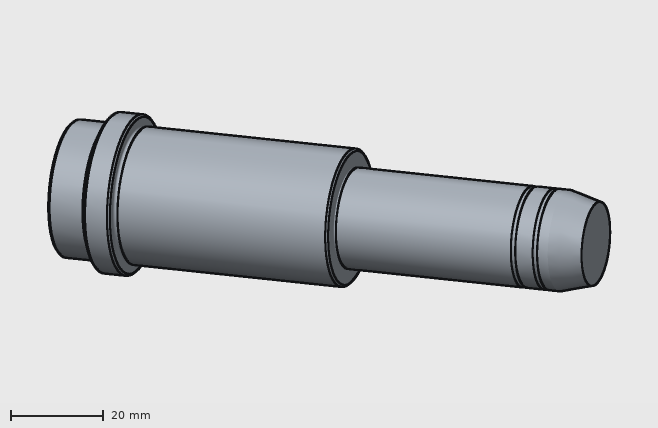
import cadquery as cq
import math

collar_start = 9.0
collar_end = 15.0
body_end = 64.0
ring_groove_centers = (105.0, 110.0)
taper_start = 113.0
total_length = 120.0

collar_radius = 35.0 / 2
body_radius = 30.0 / 2
shaft_radius = 22.0 / 2

edge_chamfer = 0.5
taper_angle = 15.0
tip_radius = shaft_radius - (total_length - taper_start) * math.tan(math.radians(taper_angle))

groove_width = 1.0
groove_depth = 0.5

shoulder_relief_width = 0.5
shoulder_relief_depth = 0.25


def add_groove(profile, start, width, radius, depth):
    """Run the outline to a groove and through its round bottom."""
    middle = (start + width / 2, radius - depth)
    end = (start + width, radius)
    return profile.lineTo(start, radius).threePointArc(middle, end)


def add_head(profile):
    """Head with a chamfered front edge and a relief against the collar."""
    profile = profile.lineTo(0, body_radius - edge_chamfer).lineTo(edge_chamfer, body_radius)
    relief_start = collar_start - groove_width
    return add_groove(profile, relief_start, groove_width, body_radius, groove_depth)


def add_collar(profile):
    """Collar chamfered on both rims."""
    rim_radius = collar_radius - edge_chamfer
    profile = profile.lineTo(collar_start, rim_radius)
    profile = profile.lineTo(collar_start + edge_chamfer, collar_radius)
    profile = profile.lineTo(collar_end - edge_chamfer, collar_radius)
    return profile.lineTo(collar_end, rim_radius)


def add_body(profile):
    """Main cylinder with a relief behind the collar and a chamfered end."""
    profile = add_groove(profile, collar_end, groove_width, body_radius, groove_depth)
    profile = profile.lineTo(body_end - edge_chamfer, body_radius)
    return profile.lineTo(body_end, body_radius - edge_chamfer)


def add_shaft(profile):
    """Shaft with a shoulder relief, two ring grooves and a tapered tip."""
    profile = add_groove(profile, body_end, shoulder_relief_width, shaft_radius, shoulder_relief_depth)
    for center in ring_groove_centers:
        ring_start = center - groove_width / 2
        profile = add_groove(profile, ring_start, groove_width, shaft_radius, groove_depth)
    profile = profile.lineTo(taper_start, shaft_radius).lineTo(total_length, tip_radius)
    return profile.lineTo(total_length, 0)


outline = cq.Workplane("XY").moveTo(0, 0)
for add_section in (add_head, add_collar, add_body, add_shaft):
    outline = add_section(outline)

result = outline.close().revolve(360, (0, 0, 0), (1, 0, 0))